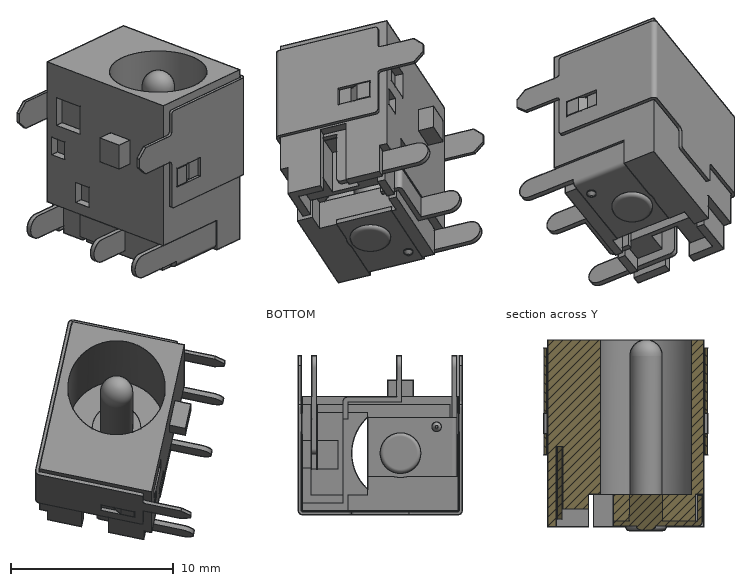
import cadquery as cq


HOUSING_WIDTH = 9.6
HOUSING_DEPTH = 7.05
HOUSING_HEIGHT = 11.5
LEG_HEIGHT = 2.0
LEG_SETBACK = 0.49
SIDE_X = HOUSING_WIDTH / 2
LEG_BACK_Y = HOUSING_DEPTH - LEG_SETBACK

SOCKET_X = 1.25
SOCKET_Y = 3.5
SOCKET_DIAMETER = 5.99
SOCKET_FLOOR_LEFT_X = -0.78
PIN_DIAMETER = 2.0
COLLAR_DIAMETER = 3.0

SHEET = 0.3
BEND_RADIUS = 0.29
PIN_REACH = 2.5
PIN_BOTTOM_Z = 0.45
PIN_WIDTH = 1.5
PIN_TOP_Z = PIN_BOTTOM_Z + PIN_WIDTH
LEFT_PIN_X = -4.07
MIDDLE_PIN_X = 1.16
RIGHT_PIN_X = 4.56

SIDE_SLOT_FRONT_Y = 2.71
SIDE_SLOT_BACK_Y = 4.41
SIDE_SLOT_TOP_Z = 4.32
TERMINAL_SLOT = 0.4
TERMINAL_SLOT_LEFT_X = LEFT_PIN_X - TERMINAL_SLOT / 2
TERMINAL_SLOT_RIGHT_X = LEFT_PIN_X + TERMINAL_SLOT / 2
CHAMBER_RIGHT_X = -2.58
CHAMBER_BACK_Y = 4.49
GAP_LEFT_X = -2.29
GAP_RIGHT_X = GAP_LEFT_X + SHEET
LEG_WALL = 0.49
CAVITY_HEIGHT = 1.08

BLADE_FRONT_Y = 1.41
BLADE_EDGE_Y = (SIDE_SLOT_FRONT_Y + SIDE_SLOT_BACK_Y) / 2
BLADE_BACK_Y = 4.7
BLADE_STEP_Z = 4.14
BLADE_TOP_Z = 4.94

STRIP_FRONT_Y = 0.05
SPRING_BACK_Y = 1.41

PLATE_BOTTOM_Z = 0.04
PLATE_TOP_Z = PLATE_BOTTOM_Z + SHEET
PLATE_FRONT_Y = 1.29
PLATE_BACK_Y = 4.94
RIGHT_SLOT_LEFT_X = 4.3
HEAD_DROP = 0.25
RIVET_EDGE_RADIUS = 0.24
RIVET_DIAMETER = 2.5
STAKE_DIAMETER = 0.59
STAKE_CHAMFER = 0.21
STAKE_X = 3.47
STAKE_Y = 1.88

BLOCK_WIDTH = 1.6
BLOCK_HEIGHT = 1.62
BLOCK_REACH = 1.0
BLOCK_BOTTOM_Z = 6.7
POCKET_DEPTH = 0.53
FRONT_POCKETS = [
    (-4.03, 7.43, 1.94, 1.88),
    (-4.42, 5.31, 1.05, 1.19),
    (-2.44, 2.69, 1.09, 1.35),
]

SHELL_SHEET = 0.2
SHELL_WIDTH = 10.1
SHELL_STANDOFF = (SHELL_WIDTH - HOUSING_WIDTH) / 2
SHELL_BEND_RADIUS = 0.29
SHELL_BACK_Y = HOUSING_DEPTH + SHELL_STANDOFF
SHELL_FRONT_Y = 0.49
SHELL_BOTTOM_Z = 4.43
SHELL_TOP_Z = 11.01
SHELL_CORNER = 0.2
PRONG_BOTTOM_Z = 7.63
PRONG_WIDTH = 1.79
PRONG_CHAMFER = 0.6
TONGUE_WIDTH = 3.52
TONGUE_BOTTOM_Z = 2.85
WINDOW_FRONT_Y = 1.0
WINDOW_BACK_Y = 3.13
WINDOW_BOTTOM_Z = 5.72
WINDOW_TOP_Z = 6.98
SELECT_MARGIN = 0.12

LATCH_CLEARANCE = 0.05
LATCH_FLAT_BACK_Y = 1.87
LATCH_RAMP_BACK_Y = 2.37


def block(x0, x1, y0, y1, z0, z1):
    """Box between two corners."""
    return cq.Workplane("XY").box(x1 - x0, y1 - y0, z1 - z0, centered=False).translate((x0, y0, z0))


def latch(side):
    """Ramped latch on the -X (side=-1) or +X (side=+1) wall, flush with the shell's outer face."""
    front_y = WINDOW_FRONT_Y + LATCH_CLEARANCE
    bottom_z = WINDOW_BOTTOM_Z + LATCH_CLEARANCE
    height = WINDOW_TOP_Z - WINDOW_BOTTOM_Z - 2 * LATCH_CLEARANCE
    outer_x = SHELL_WIDTH / 2
    outline = [
        (side * SIDE_X, front_y),
        (side * outer_x, front_y),
        (side * outer_x, LATCH_FLAT_BACK_Y),
        (side * SIDE_X, LATCH_RAMP_BACK_Y),
    ]
    return cq.Workplane("XY").workplane(offset=bottom_z).polyline(outline).close().extrude(height)


def make_housing():
    body = block(-SIDE_X, SIDE_X, 0, HOUSING_DEPTH, LEG_HEIGHT, HOUSING_HEIGHT)
    body = body.union(block(-SIDE_X, GAP_LEFT_X, LEG_SETBACK, LEG_BACK_Y, 0, LEG_HEIGHT))
    body = body.union(block(GAP_RIGHT_X, SIDE_X, LEG_SETBACK, HOUSING_DEPTH, 0, LEG_HEIGHT))

    block_left = SOCKET_X - BLOCK_WIDTH / 2
    block_top = BLOCK_BOTTOM_Z + BLOCK_HEIGHT
    body = body.union(
        block(block_left, block_left + BLOCK_WIDTH, -BLOCK_REACH, 0, BLOCK_BOTTOM_Z, block_top)
    )
    for x, z, width, height in FRONT_POCKETS:
        body = body.cut(block(x, x + width, 0, POCKET_DEPTH, z, z + height))

    for side in (-1, 1):
        body = body.union(latch(side))

    socket = cq.Workplane("XY").workplane(offset=LEG_HEIGHT).center(SOCKET_X, SOCKET_Y)
    body = body.cut(socket.circle(SOCKET_DIAMETER / 2).extrude(HOUSING_HEIGHT - LEG_HEIGHT))
    body = body.cut(socket.circle(COLLAR_DIAMETER / 2).extrude(-LEG_HEIGHT))

    cavity_front = LEG_SETBACK + LEG_WALL
    cavity_back = LEG_BACK_Y - LEG_WALL
    body = body.cut(
        block(GAP_RIGHT_X, SOCKET_FLOOR_LEFT_X, cavity_front, cavity_back, 0, LEG_HEIGHT)
    )
    body = body.cut(
        block(TERMINAL_SLOT_LEFT_X, GAP_LEFT_X, cavity_front, cavity_back, 0, CAVITY_HEIGHT)
    )

    body = body.cut(
        block(-SIDE_X, TERMINAL_SLOT_LEFT_X, SIDE_SLOT_FRONT_Y, SIDE_SLOT_BACK_Y, 0, SIDE_SLOT_TOP_Z)
    )
    body = body.cut(
        block(TERMINAL_SLOT_LEFT_X, CHAMBER_RIGHT_X, SIDE_SLOT_FRONT_Y, CHAMBER_BACK_Y, 0, BLADE_STEP_Z)
    )

    body = body.cut(
        block(TERMINAL_SLOT_LEFT_X, TERMINAL_SLOT_RIGHT_X, LEG_SETBACK, BLADE_FRONT_Y, 0, LEG_HEIGHT)
    )
    body = body.cut(
        block(TERMINAL_SLOT_LEFT_X, TERMINAL_SLOT_RIGHT_X, BLADE_FRONT_Y, BLADE_EDGE_Y, 0, BLADE_TOP_Z)
    )
    body = body.cut(
        block(
            TERMINAL_SLOT_LEFT_X, TERMINAL_SLOT_RIGHT_X,
            BLADE_EDGE_Y, BLADE_BACK_Y, BLADE_STEP_Z, BLADE_TOP_Z,
        )
    )

    body = body.cut(block(SOCKET_FLOOR_LEFT_X, SIDE_X, PLATE_FRONT_Y, PLATE_BACK_Y, 0, PLATE_TOP_Z))
    return body.cut(block(RIGHT_SLOT_LEFT_X, SIDE_X, LEG_SETBACK, PLATE_BACK_Y, 0, LEG_HEIGHT))


def make_shell():
    outer_x = SHELL_WIDTH / 2
    height = SHELL_TOP_Z - SHELL_BOTTOM_Z
    inner_x = outer_x - SHELL_SHEET
    inner_back = SHELL_BACK_Y - SHELL_SHEET
    outer = block(-outer_x, outer_x, -PIN_REACH, SHELL_BACK_Y, SHELL_BOTTOM_Z, SHELL_TOP_Z)
    outer = outer.edges("|Z and >Y").fillet(SHELL_BEND_RADIUS)
    inner = block(-inner_x, inner_x, -PIN_REACH, inner_back, SHELL_BOTTOM_Z, SHELL_TOP_Z)
    inner = inner.edges("|Z and >Y").fillet(SHELL_BEND_RADIUS - SHELL_SHEET)
    channel = outer.cut(inner)

    prong_top = PRONG_BOTTOM_Z + PRONG_WIDTH
    panel = block(-outer_x, outer_x, SHELL_FRONT_Y, SHELL_BACK_Y, SHELL_BOTTOM_Z, SHELL_TOP_Z)
    prong = block(-outer_x, outer_x, -PIN_REACH, SHELL_FRONT_Y, PRONG_BOTTOM_Z, prong_top)
    prong = prong.edges("|X and <Y").chamfer(PRONG_CHAMFER)
    outline = panel.union(prong)
    front_corners = cq.selectors.BoxSelector(
        (-outer_x, SHELL_FRONT_Y - SELECT_MARGIN, 0),
        (outer_x, SHELL_FRONT_Y + SELECT_MARGIN, HOUSING_HEIGHT),
    )
    outline = outline.edges("|X").edges(front_corners).fillet(SHELL_CORNER)
    shell = channel.intersect(outline)

    half_tongue = TONGUE_WIDTH / 2
    tongue = block(-half_tongue, half_tongue, inner_back, SHELL_BACK_Y, TONGUE_BOTTOM_Z, SHELL_BOTTOM_Z)
    shell = shell.union(tongue)
    tongue_corners = cq.selectors.BoxSelector(
        (-half_tongue - SELECT_MARGIN, inner_back, 0),
        (half_tongue + SELECT_MARGIN, SHELL_BACK_Y, SHELL_BOTTOM_Z + SELECT_MARGIN),
    )
    shell = shell.edges("|Y").edges(tongue_corners).fillet(SHELL_CORNER)

    return shell.cut(
        block(-outer_x, outer_x, WINDOW_FRONT_Y, WINDOW_BACK_Y, WINDOW_BOTTOM_Z, WINDOW_TOP_Z)
    )


def solder_pin(centre_x, back_y):
    """Upright flat pin with a fully rounded tip, reaching back to back_y."""
    left_x = centre_x - SHEET / 2
    tip_radius = PIN_WIDTH / 2
    centre_z = PIN_BOTTOM_Z + tip_radius
    round_y = tip_radius - PIN_REACH
    return (
        cq.Workplane("YZ")
        .workplane(offset=left_x)
        .moveTo(back_y, PIN_BOTTOM_Z)
        .lineTo(round_y, PIN_BOTTOM_Z)
        .threePointArc((-PIN_REACH, centre_z), (round_y, PIN_TOP_Z))
        .lineTo(back_y, PIN_TOP_Z)
        .close()
        .extrude(SHEET)
    )


def make_left_terminal():
    left_x = LEFT_PIN_X - SHEET / 2
    right_x = LEFT_PIN_X + SHEET / 2
    blade = block(left_x, right_x, BLADE_FRONT_Y, BLADE_EDGE_Y, PIN_BOTTOM_Z, BLADE_TOP_Z)
    blade = blade.edges("|X and >Y and <Z").fillet(BEND_RADIUS)
    head = block(left_x, right_x, BLADE_FRONT_Y, BLADE_BACK_Y, BLADE_STEP_Z, BLADE_TOP_Z)
    return solder_pin(LEFT_PIN_X, BLADE_FRONT_Y).union(blade).union(head)


def make_middle_terminal():
    strip_back = STRIP_FRONT_Y + SHEET
    strip_right = MIDDLE_PIN_X + SHEET / 2
    strip = block(GAP_LEFT_X, strip_right, STRIP_FRONT_Y, strip_back, PIN_BOTTOM_Z, PIN_TOP_Z)
    strip = strip.edges("|Z and <X and <Y").fillet(BEND_RADIUS)
    spring = block(GAP_LEFT_X, GAP_RIGHT_X, strip_back, SPRING_BACK_Y, PIN_BOTTOM_Z, PIN_TOP_Z)
    return strip.union(spring).union(solder_pin(MIDDLE_PIN_X, strip_back))


def round_head(x, y, diameter):
    """Plain round head hanging below the terminal plate."""
    start = cq.Workplane("XY").workplane(offset=-HEAD_DROP).center(x, y)
    return start.circle(diameter / 2).extrude(HEAD_DROP + PLATE_BOTTOM_Z)


def make_centre_terminal():
    left_x = RIGHT_PIN_X - SHEET / 2
    right_x = RIGHT_PIN_X + SHEET / 2

    plate = block(SOCKET_FLOOR_LEFT_X, right_x, PLATE_FRONT_Y, PLATE_BACK_Y, PLATE_BOTTOM_Z, PLATE_TOP_Z)
    plate = plate.edges("|Y and >X and <Z").fillet(BEND_RADIUS)
    wall = block(left_x, right_x, PLATE_FRONT_Y, PLATE_BACK_Y, PLATE_TOP_Z, PIN_TOP_Z)
    body = plate.union(wall).union(solder_pin(RIGHT_PIN_X, PLATE_FRONT_Y))

    axis = cq.Workplane("XY").workplane(offset=PLATE_BOTTOM_Z).center(SOCKET_X, SOCKET_Y)
    nose_radius = PIN_DIAMETER / 2
    shaft_top = HOUSING_HEIGHT - nose_radius
    body = body.union(axis.circle(COLLAR_DIAMETER / 2).extrude(LEG_HEIGHT - PLATE_BOTTOM_Z))
    body = body.union(axis.circle(nose_radius).extrude(shaft_top - PLATE_BOTTOM_Z))
    nose = cq.Workplane("XY").sphere(nose_radius).translate((SOCKET_X, SOCKET_Y, shaft_top))
    body = body.union(nose)

    rivet = round_head(SOCKET_X, SOCKET_Y, RIVET_DIAMETER).edges("<Z").fillet(RIVET_EDGE_RADIUS)
    stake = round_head(STAKE_X, STAKE_Y, STAKE_DIAMETER).edges("<Z").chamfer(STAKE_CHAMFER)
    return body.union(rivet).union(stake)


housing = make_housing()
shell = make_shell()
left_terminal = make_left_terminal()
middle_terminal = make_middle_terminal()
centre_terminal = make_centre_terminal()

bodies = [housing, shell, left_terminal, middle_terminal, centre_terminal]
result = cq.Compound.makeCompound([body.solids().val() for body in bodies])